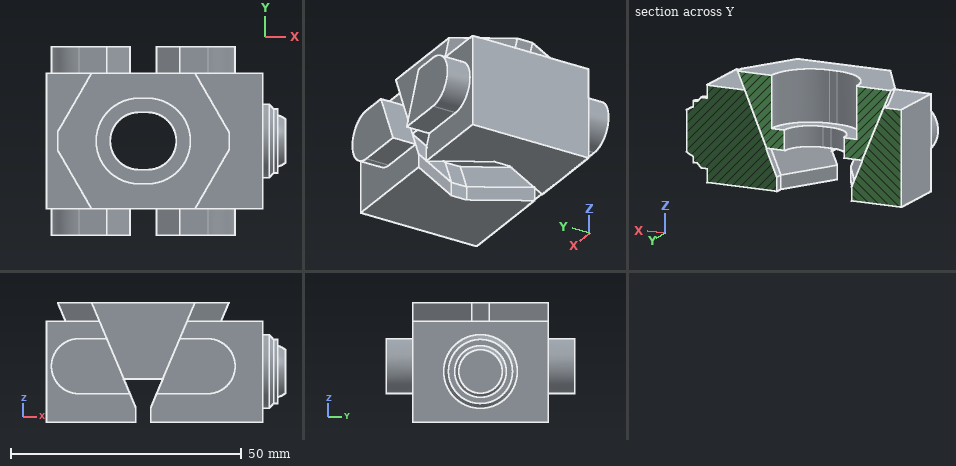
import cadquery as cq
import math

LEFT_END_X = -21.05
RIGHT_END_X = 26.0
BODY_DEPTH = 29.5
JAW_HEIGHT = 22.0
HALF_GAP = 1.6

WEDGE_TOP_Z = 26.05
WEDGE_BOTTOM_Z = 9.4
TOP_HALF_WIDTH = 11.25
BOTTOM_HALF_WIDTH = 4.2
NOSE_HALF_DEPTH = 1.9
FLANK_ANGLE = 30.0
FLANK_SLOPE = (TOP_HALF_WIDTH - BOTTOM_HALF_WIDTH) / (WEDGE_TOP_Z - WEDGE_BOTTOM_Z)
GAP_TOP_Z = WEDGE_BOTTOM_Z - (BOTTOM_HALF_WIDTH - HALF_GAP) / FLANK_SLOPE
NOSE_REACH = (BODY_DEPTH / 2 - NOSE_HALF_DEPTH) * math.tan(math.radians(FLANK_ANGLE))

SLOT_TRAVEL = 1.85
SCREW_DIAMETER = 12.45
HEAD_DIAMETER = 18.6
HEAD_DEPTH = 11.95

EARS_DEPTH = 41.0
EAR_END_X = 19.95
EAR_RADIUS = 6.0
EAR_Z = 12.2

BUTTON_Z = 11.1
BUTTON_RADIUS = 8.0
BUTTON_RIM_LENGTH = 1.35
COLLAR_RADIUS = 6.95
COLLAR_START = 2.35
COLLAR_END = 3.3
DOME_BASE_RADIUS = 5.6
DOME_TIP_RADIUS = 4.75
DOME_SPHERE_RADIUS = 5.9
BUTTON_LENGTH = 4.95


def plan_outline(edge_half_width):
    """Eight-sided plan, given its half width at the front and back faces."""
    nose_x = edge_half_width + NOSE_REACH
    half_depth = BODY_DEPTH / 2
    return [
        (-edge_half_width, -half_depth),
        (edge_half_width, -half_depth),
        (nose_x, -NOSE_HALF_DEPTH),
        (nose_x, NOSE_HALF_DEPTH),
        (edge_half_width, half_depth),
        (-edge_half_width, half_depth),
        (-nose_x, NOSE_HALF_DEPTH),
        (-nose_x, -NOSE_HALF_DEPTH),
    ]


def tapered_prism(bottom_z, bottom_half_width):
    """Sloping-sided prism from bottom_z to the top of the wedge."""
    return (
        cq.Workplane("XY", origin=(0, 0, bottom_z))
        .polyline(plan_outline(bottom_half_width)).close()
        .workplane(offset=WEDGE_TOP_Z - bottom_z)
        .polyline(plan_outline(TOP_HALF_WIDTH)).close()
        .loft(ruled=True)
    )


def slotted_hole(diameter, bottom_z):
    return (
        cq.Workplane("XY", origin=(0, 0, bottom_z))
        .slot2D(diameter + SLOT_TRAVEL, diameter)
        .extrude(WEDGE_TOP_Z - bottom_z)
    )


def make_wedge():
    blank = tapered_prism(WEDGE_BOTTOM_Z, BOTTOM_HALF_WIDTH)
    screw_hole = slotted_hole(SCREW_DIAMETER, WEDGE_BOTTOM_Z)
    head_recess = slotted_hole(HEAD_DIAMETER, WEDGE_TOP_Z - HEAD_DEPTH)
    return blank.cut(screw_hole).cut(head_recess)


def ear_bar(side):
    """Round-ended bar through the jaw; side is -1 for left, 1 for right."""
    full_bar = (
        cq.Workplane("XZ", origin=(0, 0, EAR_Z))
        .slot2D(2 * EAR_END_X, 2 * EAR_RADIUS)
        .extrude(EARS_DEPTH / 2, both=True)
    )
    jaw_side = (
        cq.Workplane("XZ")
        .polyline([
            (side * HALF_GAP, 0),
            (side * HALF_GAP, GAP_TOP_Z),
            (side * TOP_HALF_WIDTH, WEDGE_TOP_Z),
            (side * EAR_END_X, WEDGE_TOP_Z),
            (side * EAR_END_X, 0),
        ]).close()
        .extrude(EARS_DEPTH / 2, both=True)
    )
    return full_bar.intersect(jaw_side)


def make_jaw(side, end_x):
    """Block with ears, hollowed to seat the wedge and clear the gap below it."""
    block = (
        cq.Workplane("XY", origin=(end_x / 2, 0, 0))
        .rect(abs(end_x), BODY_DEPTH)
        .extrude(JAW_HEIGHT)
    )
    wedge_seat = tapered_prism(GAP_TOP_Z, HALF_GAP)
    gap = cq.Workplane("XY").polyline(plan_outline(HALF_GAP)).close().extrude(GAP_TOP_Z)
    return block.union(ear_bar(side)).cut(wedge_seat).cut(gap)


def make_button():
    """Turned button with a bevelled rim and a domed, flat-tipped end."""
    dome_middle_x = (COLLAR_END + BUTTON_LENGTH) / 2
    sphere_center_x = COLLAR_END - math.sqrt(DOME_SPHERE_RADIUS**2 - DOME_BASE_RADIUS**2)
    dome_middle_radius = math.sqrt(DOME_SPHERE_RADIUS**2 - (dome_middle_x - sphere_center_x)**2)
    return (
        cq.Workplane("XY", origin=(RIGHT_END_X, 0, BUTTON_Z))
        .lineTo(0, BUTTON_RADIUS)
        .lineTo(BUTTON_RIM_LENGTH, BUTTON_RADIUS)
        .lineTo(COLLAR_START, COLLAR_RADIUS)
        .lineTo(COLLAR_END, COLLAR_RADIUS)
        .lineTo(COLLAR_END, DOME_BASE_RADIUS)
        .threePointArc((dome_middle_x, dome_middle_radius), (BUTTON_LENGTH, DOME_TIP_RADIUS))
        .lineTo(BUTTON_LENGTH, 0)
        .close()
        .revolve(360, (0, 0, 0), (1, 0, 0))
    )


wedge = make_wedge()
left_jaw = make_jaw(-1, LEFT_END_X)
right_jaw = make_jaw(1, RIGHT_END_X).union(make_button())

result = cq.Compound.makeCompound([wedge.val(), left_jaw.val(), right_jaw.val()])